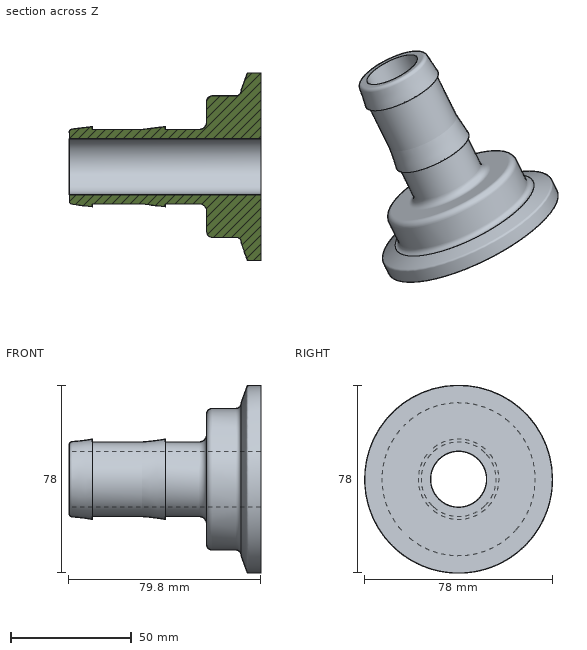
import cadquery as cq
import math


length = 79.75
bore_radius = 23.1 / 2

tail_radius = 31.0 / 2
barb_length = 9.65
barb_height = 1.2
barb_starts = [0.0, 30.3]
nose_fillet = 1.5

body_radius = 58.95 / 2
body_start = 57.0
body_fillet = 2.5
tail_root_fillet = 3.0

flange_radius = 78.0 / 2
flange_start = 71.4
flange_angle = 20.0
flange_edge_fillet = 0.95
flange_root_fillet = 2.0

root_wall = 0.3
cone_start_radius = body_radius + flange_root_fillet + root_wall
cone_depth = (flange_radius - cone_start_radius) * math.tan(math.radians(flange_angle))


def cylinder(radius, start, end):
    """Solid cylinder about X between two stations."""
    return cq.Workplane("YZ", origin=(start, 0, 0)).circle(radius).extrude(end - start)


def barb(start):
    """Solid cone widening toward +X and ending in a square shoulder."""
    profile = (
        cq.Workplane("XY")
        .moveTo(start, 0)
        .lineTo(start, tail_radius)
        .lineTo(start + barb_length, tail_radius + barb_height)
        .lineTo(start + barb_length, 0)
        .close()
    )
    return profile.revolve(360, (0, 0, 0), (1, 0, 0))


def body():
    """Body with a rounded front rim and quarter-round roots at both ends."""
    mid_offset = 1 - math.cos(math.radians(45))
    tail_root_mid = (
        body_start - tail_root_fillet * mid_offset,
        tail_radius + tail_root_fillet * mid_offset,
    )
    rim_mid = (
        body_start + body_fillet * mid_offset,
        body_radius - body_fillet * mid_offset,
    )
    flange_root_mid = (
        flange_start - flange_root_fillet * mid_offset,
        body_radius + flange_root_fillet * mid_offset,
    )
    profile = (
        cq.Workplane("XY")
        .moveTo(body_start - tail_root_fillet, 0)
        .lineTo(body_start - tail_root_fillet, tail_radius)
        .threePointArc(tail_root_mid, (body_start, tail_radius + tail_root_fillet))
        .lineTo(body_start, body_radius - body_fillet)
        .threePointArc(rim_mid, (body_start + body_fillet, body_radius))
        .lineTo(flange_start - flange_root_fillet, body_radius)
        .threePointArc(flange_root_mid, (flange_start, body_radius + flange_root_fillet))
        .lineTo(flange_start, 0)
        .close()
    )
    return profile.revolve(360, (0, 0, 0), (1, 0, 0))


def flange():
    """Flange disc with a conical back face and a rounded outer edge."""
    profile = (
        cq.Workplane("XY")
        .moveTo(flange_start, 0)
        .lineTo(flange_start, cone_start_radius)
        .lineTo(flange_start + cone_depth, flange_radius)
        .lineTo(length, flange_radius)
        .lineTo(length, 0)
        .close()
    )
    disc = profile.revolve(360, (0, 0, 0), (1, 0, 0))
    return disc.edges("%CIRCLE").edges(">>X[-2]").fillet(flange_edge_fillet)


def tail():
    """Barbed hose tail with a rounded nose."""
    first_shoulder = barb_starts[0] + barb_length
    stem = cylinder(tail_radius, first_shoulder, body_start)
    for start in barb_starts:
        stem = stem.union(barb(start))
    return stem.edges("<X").fillet(nose_fillet)


outer = tail().union(body()).union(flange())
result = outer.cut(cylinder(bore_radius, 0, length))